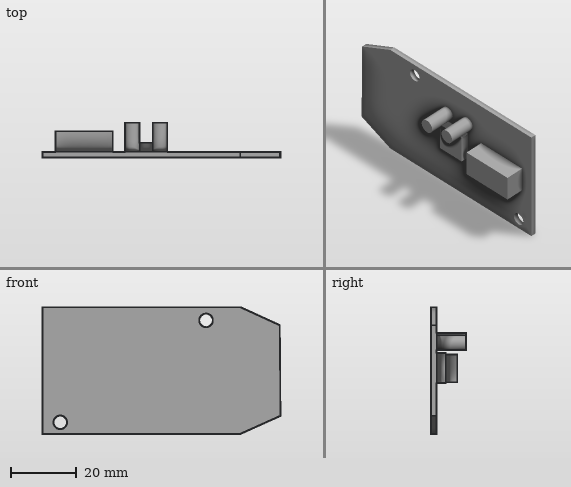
import cadquery as cq

board_length = 72.3
board_height = 38.5
board_thickness = 1.7
taper_start_x = 60.1
taper_drop = 5.5
end_lean = 0.2

hole_diameter = 4.05
hole_centers = [(5.4, 3.55), (49.7, 34.5)]

post_diameter = 4.5
overall_depth = 10.6
post_height = overall_depth - board_thickness
post_centers = [(27.25, 28.5), (35.7, 27.7)]

connector_left = 4.0
connector_bottom = 15.7
connector_length = 17.4
connector_width = 8.45
connector_height = 6.3

chip_size = 9.2
chip_bottom = 15.5
chip_height = 2.8
chip_center_x = sum(x for x, z in post_centers) / len(post_centers)
chip_left = chip_center_x - chip_size / 2


def make_board():
    outline = [
        (0, 0),
        (taper_start_x, 0),
        (board_length, taper_drop),
        (board_length - end_lean, board_height - taper_drop),
        (taper_start_x, board_height),
        (0, board_height),
    ]
    board = cq.Workplane("XZ").polyline(outline).close().extrude(-board_thickness)
    holes = (
        cq.Workplane("XZ")
        .pushPoints(hole_centers)
        .circle(hole_diameter / 2)
        .extrude(-board_thickness)
    )
    return board.cut(holes)


def component_plane():
    return cq.Workplane("XZ", origin=(0, board_thickness, 0))


def make_block(left, bottom, length, width, height):
    return (
        component_plane()
        .moveTo(left, bottom)
        .rect(length, width, centered=False)
        .extrude(-height)
    )


posts = component_plane().pushPoints(post_centers).circle(post_diameter / 2).extrude(-post_height)
connector = make_block(
    connector_left, connector_bottom, connector_length, connector_width, connector_height
)
chip = make_block(chip_left, chip_bottom, chip_size, chip_size, chip_height)

result = make_board().union(connector).union(chip).union(posts)